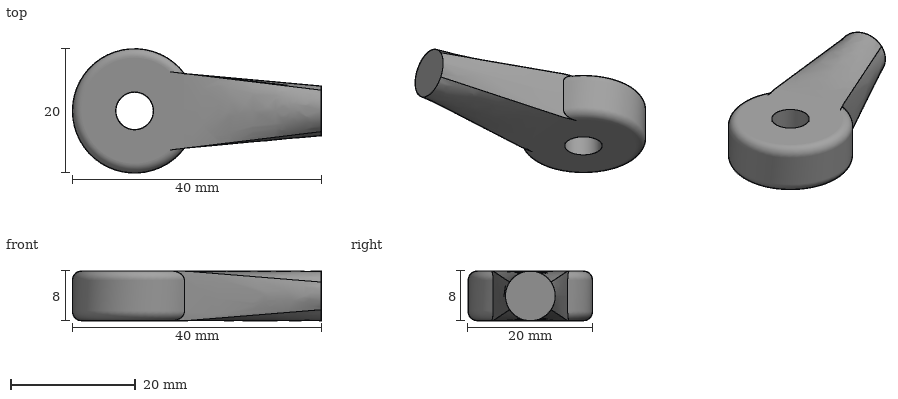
import math

import cadquery as cq

eye_radius = 10.0
thickness = 8.0
rim_radius = 1.5
bore_diameter = 6.0

shank_start_x = 8.0
shank_end_x = 30.0
shank_length = shank_end_x - shank_start_x
shank_start_width = 2 * math.sqrt(eye_radius**2 - shank_start_x**2)
shank_end_radius = thickness / 2

start_diagonal = math.hypot(shank_start_width, thickness)
corner_edge_end_width = 2 * shank_end_radius * shank_start_width / start_diagonal
neck_taper = (shank_start_width - corner_edge_end_width) / shank_length
neck_width_at_bore = shank_start_width + neck_taper * shank_start_x


def make_eye():
    """Disc with rolled rims, cut off flat where the shank starts."""
    disc = cq.Workplane("XY").circle(eye_radius).extrude(thickness / 2, both=True)
    rolled_disc = disc.edges().fillet(rim_radius)
    kept_length = eye_radius + shank_start_x
    kept_center_x = shank_start_x - kept_length / 2
    kept_block = (
        cq.Workplane("XY", origin=(kept_center_x, 0, 0))
        .box(kept_length, 2 * eye_radius, thickness)
    )
    return rolled_disc.intersect(kept_block)


def make_neck():
    """Full-height tapered block that fills the rolled rims beside the shank."""
    outline = [
        (0, -neck_width_at_bore / 2),
        (shank_start_x, -shank_start_width / 2),
        (shank_start_x, shank_start_width / 2),
        (0, neck_width_at_bore / 2),
    ]
    return cq.Workplane("XY").polyline(outline).close().extrude(thickness / 2, both=True)


def make_shank():
    """Straight blend from the rectangle to the round end."""
    return (
        cq.Workplane("YZ", origin=(shank_start_x, 0, 0))
        .rect(shank_start_width, thickness)
        .workplane(offset=shank_length)
        .circle(shank_end_radius)
        .loft(combine=True)
    )


def make_bore():
    return cq.Workplane("XY").circle(bore_diameter / 2).extrude(thickness, both=True)


result = make_eye().union(make_neck()).union(make_shank()).cut(make_bore())